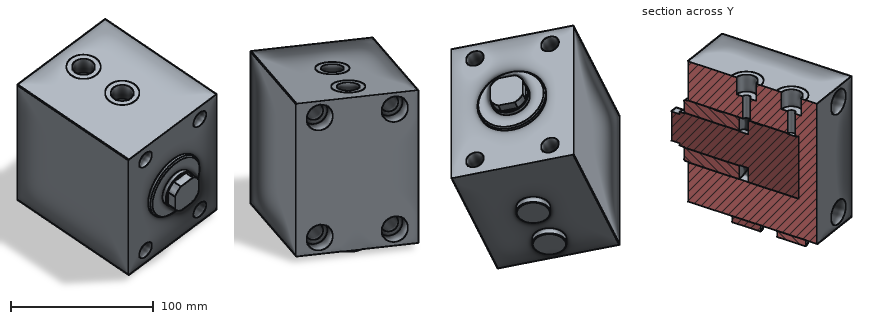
import cadquery as cq


block_length = 107.8
block_width = 90.0
block_height = 114.9
block_edge_chamfer = 0.5

mount_spacing_y = 55.2
mount_spacing_z = 90.2
mount_hole_diameter = 13.0
counterbore_diameter = 19.2
counterbore_depth = 13.0

rear_port_x = 21.5
front_port_x = 58.9
port_positions = [rear_port_x, front_port_x]
port_diameter = 16.0
port_depth = 14.0
spotface_diameter = 24.0
spotface_depth = 0.1
oil_passage_diameter = 6.0

plug_diameter = spotface_diameter
plug_height = 5.0
plug_chamfer = 0.5

bore_diameter = 50.0
bore_rear_x = rear_port_x - oil_passage_diameter

gland_rear_x = front_port_x + oil_passage_diameter
gland_projection = 3.3
gland_front_x = block_length + gland_projection
gland_chamfer = 1.1

piston_front_x = 57.5
rod_diameter = 28.0
rod_projection = 3.6
rod_chamfer = 0.5
rod_shoulder_x = gland_front_x + rod_projection
wrench_end_length = 6.8
wrench_end_diameter = rod_diameter - 2 * rod_chamfer
wrench_flat_width = 24.0


def cylinder_along_x(diameter, start_x, end_x):
    """Cylinder on the bore axis between two X positions."""
    return cq.Workplane("YZ", origin=(start_x, 0, 0)).circle(diameter / 2).extrude(end_x - start_x)


def make_block():
    """Block with chamfered long edges, cylinder bore, mounting holes and oil ports."""
    block = cq.Workplane("XY").box(block_length, block_width, block_height, centered=(False, True, True))
    block = block.edges("|X").chamfer(block_edge_chamfer)
    block = block.cut(cylinder_along_x(bore_diameter, bore_rear_x, block_length))
    block = cut_mounting_holes(block)
    for port_x in port_positions:
        block = cut_port(block, port_x)
    return block


def cut_mounting_holes(block):
    """Four through holes with their counterbores in the rear face."""
    return (
        block.faces("<X")
        .workplane(origin=(0, 0, 0))
        .rect(mount_spacing_y, mount_spacing_z, forConstruction=True)
        .vertices()
        .cboreHole(mount_hole_diameter, counterbore_diameter, counterbore_depth)
    )


def cut_port(block, port_x):
    """Spotface, port and narrow passage from the top face down into the bore."""
    top_face = cq.Workplane("XY", origin=(port_x, 0, block_height / 2))
    spotface = top_face.circle(spotface_diameter / 2).extrude(-spotface_depth)
    port = top_face.circle(port_diameter / 2).extrude(-port_depth)
    oil_passage = top_face.circle(oil_passage_diameter / 2).extrude(-block_height / 2)
    return block.cut(spotface).cut(port).cut(oil_passage)


def make_gland():
    """Round gland with a hole for the rod and a chamfered front rim."""
    gland = cylinder_along_x(bore_diameter, gland_rear_x, gland_front_x)
    gland = gland.faces(">X").edges().chamfer(gland_chamfer)
    return gland.cut(cylinder_along_x(rod_diameter, gland_rear_x, gland_front_x))


def make_piston_rod():
    """Piston and rod in one piece, ending in a wrench end with four flats."""
    piston = cylinder_along_x(bore_diameter, bore_rear_x, piston_front_x)
    rod = cylinder_along_x(rod_diameter, piston_front_x, rod_shoulder_x)
    rod = rod.faces(">X").edges().chamfer(rod_chamfer)
    wrench_end_x = rod_shoulder_x + wrench_end_length
    shoulder = cq.Workplane("YZ", origin=(rod_shoulder_x, 0, 0))
    wrench_square = shoulder.rect(wrench_flat_width, wrench_flat_width).extrude(wrench_end_length)
    wrench_end = cylinder_along_x(wrench_end_diameter, rod_shoulder_x, wrench_end_x)
    wrench_end = wrench_end.intersect(wrench_square)
    return piston.union(rod).union(wrench_end)


def make_plug(plug_x):
    """Chamfered round plug standing on the block's bottom face."""
    bottom_face = cq.Workplane("XY", origin=(plug_x, 0, -block_height / 2))
    plug = bottom_face.circle(plug_diameter / 2).extrude(-plug_height)
    return plug.faces("<Z").edges().chamfer(plug_chamfer)


block = make_block()
gland = make_gland()
piston_rod = make_piston_rod()
plugs = [make_plug(port_x) for port_x in port_positions]

result = cq.Compound.makeCompound(
    [block.val(), gland.val(), piston_rod.val(), *[plug.val() for plug in plugs]]
)